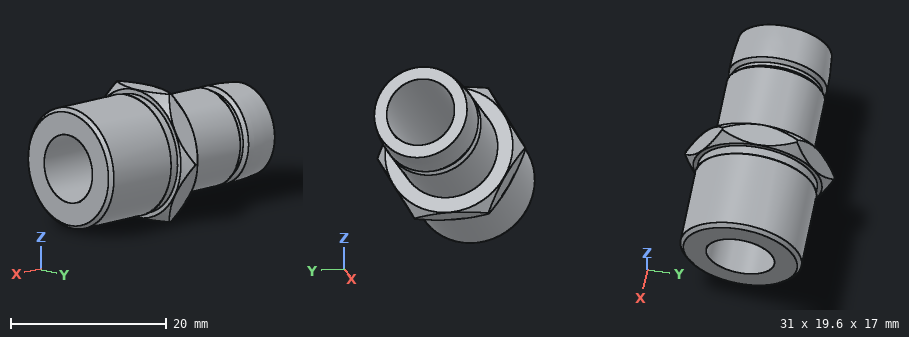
import cadquery as cq
import math

total_length = 31.0
bore_diameter = 9.0

tube_diameter = 12.93
nose_diameter = 12.3
nose_length = 4.0
groove_start = 5.0
groove_bottom_width = 0.5
groove_depth = 0.5

hex_start = 16.0
hex_thickness = 3.0
hex_across_flats = 17.0
hex_face_diameter = 16.93

neck_diameter = 15.7
neck_end = 20.15
body_diameter = 15.95
body_chamfer = 0.5

tube_radius = tube_diameter / 2
nose_radius = nose_diameter / 2
neck_radius = neck_diameter / 2
body_radius = body_diameter / 2
hex_end = hex_start + hex_thickness


def nose_arc_midpoint():
    """Middle of the arc that leaves the tube tangentially and drops to the nose face."""
    drop = tube_radius - nose_radius
    arc_radius = (nose_length**2 + drop**2) / (2 * drop)
    half_angle = math.asin(nose_length / arc_radius) / 2
    x = nose_length - arc_radius * math.sin(half_angle)
    radius = tube_radius - arc_radius * (1 - math.cos(half_angle))
    return x, radius


def turned_body():
    """Revolved outside shape: nose, groove, tube, neck and body."""
    groove_radius = tube_radius - groove_depth
    groove_bottom_start = groove_start + groove_depth
    groove_bottom_end = groove_bottom_start + groove_bottom_width
    groove_end = groove_bottom_end + groove_depth
    body_start = neck_end + body_radius - neck_radius
    return (
        cq.Workplane("XZ")
        .moveTo(0, 0)
        .lineTo(0, nose_radius)
        .threePointArc(nose_arc_midpoint(), (nose_length, tube_radius))
        .lineTo(groove_start, tube_radius)
        .lineTo(groove_bottom_start, groove_radius)
        .lineTo(groove_bottom_end, groove_radius)
        .lineTo(groove_end, tube_radius)
        .lineTo(hex_start, tube_radius)
        .lineTo(hex_start, neck_radius)
        .lineTo(neck_end, neck_radius)
        .lineTo(body_start, body_radius)
        .lineTo(total_length - body_chamfer, body_radius)
        .lineTo(total_length, body_radius - body_chamfer)
        .lineTo(total_length, 0)
        .close()
        .revolve(360, (0, 0, 0), (1, 0, 0))
    )


def hex_flange():
    """Hexagon with corners on the Y axis, its corners turned off at 45 degrees on both faces."""
    corner_diameter = hex_across_flats / math.cos(math.pi / 6)
    hexagon = (
        cq.Workplane("YZ", origin=(hex_start, 0, 0))
        .polygon(6, corner_diameter)
        .extrude(hex_thickness)
    )
    face_radius = hex_face_diameter / 2
    peak_radius = face_radius + hex_thickness / 2
    corner_cones = (
        cq.Workplane("XZ")
        .moveTo(hex_start, 0)
        .lineTo(hex_start, face_radius)
        .lineTo(hex_start + hex_thickness / 2, peak_radius)
        .lineTo(hex_end, face_radius)
        .lineTo(hex_end, 0)
        .close()
        .revolve(360, (0, 0, 0), (1, 0, 0))
    )
    return hexagon.intersect(corner_cones)


bore = cq.Workplane("YZ").circle(bore_diameter / 2).extrude(total_length)

result = turned_body().union(hex_flange()).cut(bore)